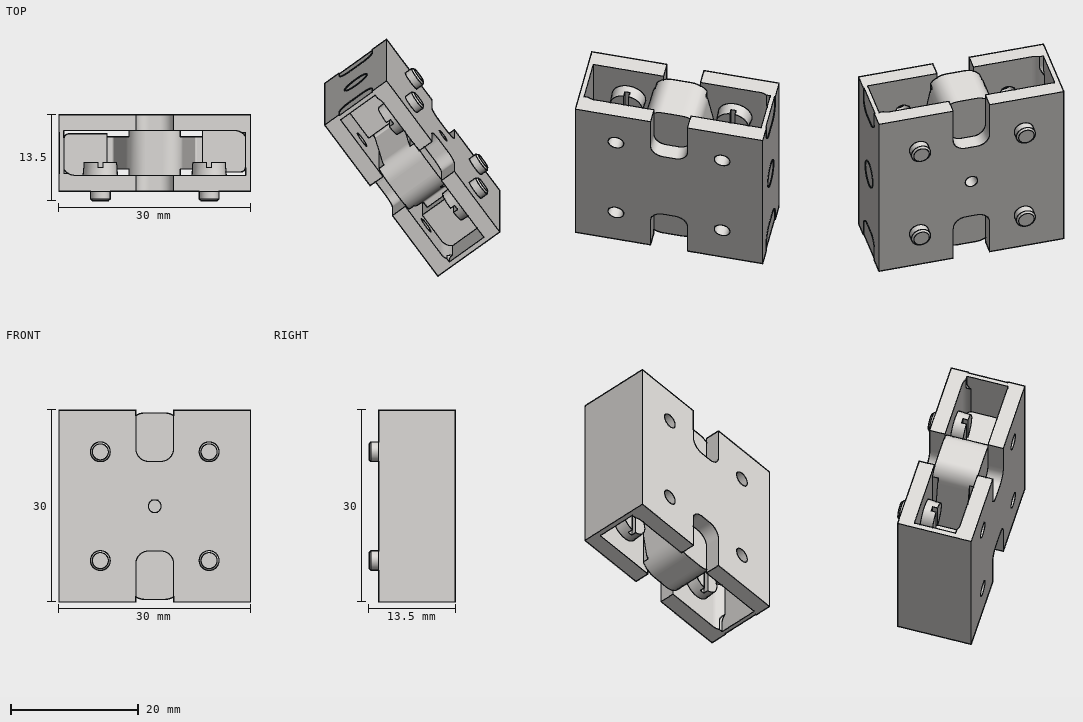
import cadquery as cq
import math

WIDTH = 30.0
DEPTH = 12.0
HEIGHT = 30.0
FACE_WALL = 2.5
SIDE_WALL = 0.8
CAVITY_HALF_WIDTH = WIDTH / 2 - SIDE_WALL
CAVITY_HALF_DEPTH = DEPTH / 2 - FACE_WALL

CORNER_RADIUS = 2.0
CORNER_OVERRUN = 0.3
CORNER_X = CAVITY_HALF_WIDTH + CORNER_OVERRUN - CORNER_RADIUS
CORNER_Y = CAVITY_HALF_DEPTH - CORNER_RADIUS

NOTCH_WIDTH = 5.9
NOTCH_DEPTH = 8.0
NOTCH_RADIUS = 2.0

RELIEF_WIDTH = 6.4
RELIEF_DEPTH = 4.0
RELIEF_RADIUS = 2.0
RECESS_DEPTH = 0.12
ROUND_RECESS_DIAMETER = 4.4

CENTER_HOLE_DIAMETER = 2.0

SCREW_OFFSET = 8.5
SHANK_DIAMETER = 3.1
SHANK_PROJECTION = 1.5
SHANK_CHAMFER = 0.3
BACK_HOLE_DIAMETER = 2.5
HEAD_BASE_DIAMETER = 5.4
HEAD_TOP_DIAMETER = 5.1
HEAD_HEIGHT = 2.0
SLOT_WIDTH = 0.8
SLOT_DEPTH = 0.8

BUTTON_TOP = 14.6
BUTTON_FLAT_WIDTH = 2.9
BUTTON_RADIUS = 3.0
FLANK_ANGLE = math.radians(11)
STEM_WIDTH = 8.05
WEDGE_DEPTH = 5.1
FLAT_HALF_WIDTH = BUTTON_FLAT_WIDTH / 2
ARC_CENTER_Z = BUTTON_TOP - BUTTON_RADIUS
FOOT_BOTTOM = CENTER_HOLE_DIAMETER / 2
FOOT_THICKNESS = 1.0
FOOT_FILLET = 0.35

SLIDER_INNER_X = 7.45
SLIDER_HEIGHT = 10.0
SLIDER_CLEARANCE = 0.5
SLIDER_SMALL_RADIUS = 0.8


def end_notch(plane, width, depth, radius, length):
    """Notch tool with round bottom corners, cut into the top end and running across the plane."""
    return (
        cq.Workplane(plane)
        .center(0, HEIGHT / 2)
        .rect(width, 2 * depth)
        .extrude(length / 2, both=True)
        .edges("|Y" if plane == "XZ" else "|X")
        .fillet(radius)
    )


def both_ends(tool):
    """The tool together with its mirror image at the bottom end."""
    return tool.union(tool.mirror("XY"))


def upright_bar(x, y):
    """Sketch plane moved to a point in plan, for bars as tall as the housing."""
    return cq.Workplane("XY", origin=(x, y, -HEIGHT / 2))


def make_cavity():
    """Space inside the housing; the +X+Y and -X-Y corners are round, the other two sharp."""
    cavity = cq.Workplane("XY").box(2 * CAVITY_HALF_WIDTH, 2 * CAVITY_HALF_DEPTH, HEIGHT)
    for side in (1, -1):
        square_bar = (
            upright_bar(side * (CORNER_X + CORNER_RADIUS / 2), side * (CORNER_Y + CORNER_RADIUS / 2))
            .rect(CORNER_RADIUS, CORNER_RADIUS)
            .extrude(HEIGHT)
        )
        round_bar = upright_bar(side * CORNER_X, side * CORNER_Y).circle(CORNER_RADIUS).extrude(HEIGHT)
        cavity = cavity.cut(square_bar.cut(round_bar))
    return cavity


def screw_pattern_holes(diameter, start_y, length):
    """Four holes on the screw axes, running from start_y toward -Y."""
    return (
        cq.Workplane("XZ", origin=(0, start_y, 0))
        .rect(2 * SCREW_OFFSET, 2 * SCREW_OFFSET, forConstruction=True)
        .vertices()
        .circle(diameter / 2)
        .extrude(length)
    )


def make_housing():
    reliefs = both_ends(end_notch("YZ", RELIEF_WIDTH, RELIEF_DEPTH, RELIEF_RADIUS, WIDTH))
    between_side_walls = cq.Workplane("XY").box(2 * CAVITY_HALF_WIDTH, DEPTH, HEIGHT)
    left_skin = cq.Workplane("XY").box(2 * RECESS_DEPTH, DEPTH, HEIGHT).translate((-WIDTH / 2, 0, 0))
    round_recess = (
        cq.Workplane("YZ", origin=(-WIDTH / 2, 0, 0))
        .circle(ROUND_RECESS_DIAMETER / 2)
        .extrude(RECESS_DEPTH)
    )
    notches = both_ends(end_notch("XZ", NOTCH_WIDTH, NOTCH_DEPTH, NOTCH_RADIUS, DEPTH))
    front_holes = screw_pattern_holes(SHANK_DIAMETER, -CAVITY_HALF_DEPTH, FACE_WALL)
    back_holes = screw_pattern_holes(BACK_HOLE_DIAMETER, DEPTH / 2, FACE_WALL)
    center_hole = (
        cq.Workplane("XZ", origin=(0, -CAVITY_HALF_DEPTH, 0))
        .circle(CENTER_HOLE_DIAMETER / 2)
        .extrude(FACE_WALL)
    )
    return (
        cq.Workplane("XY")
        .box(WIDTH, DEPTH, HEIGHT)
        .cut(make_cavity())
        .cut(reliefs.intersect(between_side_walls))
        .cut(reliefs.intersect(left_skin))
        .cut(round_recess)
        .cut(notches)
        .cut(front_holes)
        .cut(back_holes)
        .cut(center_hole)
    )


def make_screw(x, z):
    """Screw through the front wall, made as one turned profile about the Y axis and then slotted."""
    seat_y = -CAVITY_HALF_DEPTH
    top_y = seat_y + HEAD_HEIGHT
    tip_y = -DEPTH / 2 - SHANK_PROJECTION
    shank_radius = SHANK_DIAMETER / 2
    half_profile = (
        cq.Workplane("YZ")
        .moveTo(top_y, 0)
        .lineTo(top_y, HEAD_TOP_DIAMETER / 2)
        .lineTo(seat_y, HEAD_BASE_DIAMETER / 2)
        .lineTo(seat_y, shank_radius)
        .lineTo(tip_y + SHANK_CHAMFER, shank_radius)
        .lineTo(tip_y, shank_radius - SHANK_CHAMFER)
        .lineTo(tip_y, 0)
        .close()
    )
    turned = half_profile.revolve(360, (0, 0, 0), (1, 0, 0))
    slot = cq.Workplane("XY").box(SLOT_WIDTH, 2 * SLOT_DEPTH, HEAD_BASE_DIAMETER)
    return turned.cut(slot.translate((0, top_y, 0))).translate((x, 0, z))


def arc_point(angle):
    """Point of the right-hand button shoulder at an angle above the X axis."""
    return (
        FLAT_HALF_WIDTH + BUTTON_RADIUS * math.cos(angle),
        ARC_CENTER_Z + BUTTON_RADIUS * math.sin(angle),
    )


def make_button():
    """Upper button; its foot reaches the sliders on both sides."""
    flank_top_x, flank_top_z = arc_point(FLANK_ANGLE)
    shoulder_x, shoulder_z = arc_point((FLANK_ANGLE + math.pi / 2) / 2)
    foot_top = FOOT_BOTTOM + FOOT_THICKNESS
    flank_foot_x = flank_top_x + (flank_top_z - foot_top) * math.tan(FLANK_ANGLE)
    outline = (
        cq.Workplane("XZ")
        .moveTo(-flank_foot_x, foot_top)
        .lineTo(-SLIDER_INNER_X, foot_top)
        .lineTo(-SLIDER_INNER_X, FOOT_BOTTOM)
        .lineTo(SLIDER_INNER_X, FOOT_BOTTOM)
        .lineTo(SLIDER_INNER_X, foot_top)
        .lineTo(flank_foot_x, foot_top)
        .lineTo(flank_top_x, flank_top_z)
        .threePointArc((shoulder_x, shoulder_z), (FLAT_HALF_WIDTH, BUTTON_TOP))
        .lineTo(-FLAT_HALF_WIDTH, BUTTON_TOP)
        .threePointArc((-shoulder_x, shoulder_z), (-flank_top_x, flank_top_z))
        .close()
    )
    full_depth = outline.extrude(CAVITY_HALF_DEPTH, both=True)
    for side in (1, -1):
        foot_corner = cq.selectors.NearestToPointSelector((side * flank_foot_x, 0, foot_top))
        full_depth = full_depth.edges("|Y").edges(foot_corner).fillet(FOOT_FILLET)
    stem_zone = cq.Workplane("XY").box(STEM_WIDTH, DEPTH, HEIGHT)
    wedge_zone = cq.Workplane("XY").box(WIDTH, WEDGE_DEPTH, HEIGHT)
    return full_depth.intersect(stem_zone.union(wedge_zone))


def make_slider():
    """Right-hand slider, seated in the round corner of the cavity."""
    front_y = SLIDER_CLEARANCE - CAVITY_HALF_DEPTH
    length = CAVITY_HALF_WIDTH - SLIDER_INNER_X
    width = CAVITY_HALF_DEPTH - front_y
    return (
        cq.Workplane("XY")
        .box(length, width, SLIDER_HEIGHT, centered=False)
        .translate((SLIDER_INNER_X, front_y, -SLIDER_HEIGHT / 2))
        .edges("|Z and >X and <Y")
        .fillet(SLIDER_SMALL_RADIUS)
        .intersect(make_cavity())
    )


housing = make_housing()

screw_places = (-SCREW_OFFSET, SCREW_OFFSET)
screws = [make_screw(x, z) for x in screw_places for z in screw_places]

upper_button = make_button()
buttons = [upper_button, upper_button.mirror("XY")]

right_slider = make_slider()
sliders = [right_slider, right_slider.rotate((0, 0, 0), (0, 0, 1), 180)]

result = cq.Compound.makeCompound(
    [housing.val()] + [body.val() for body in screws + buttons + sliders]
)